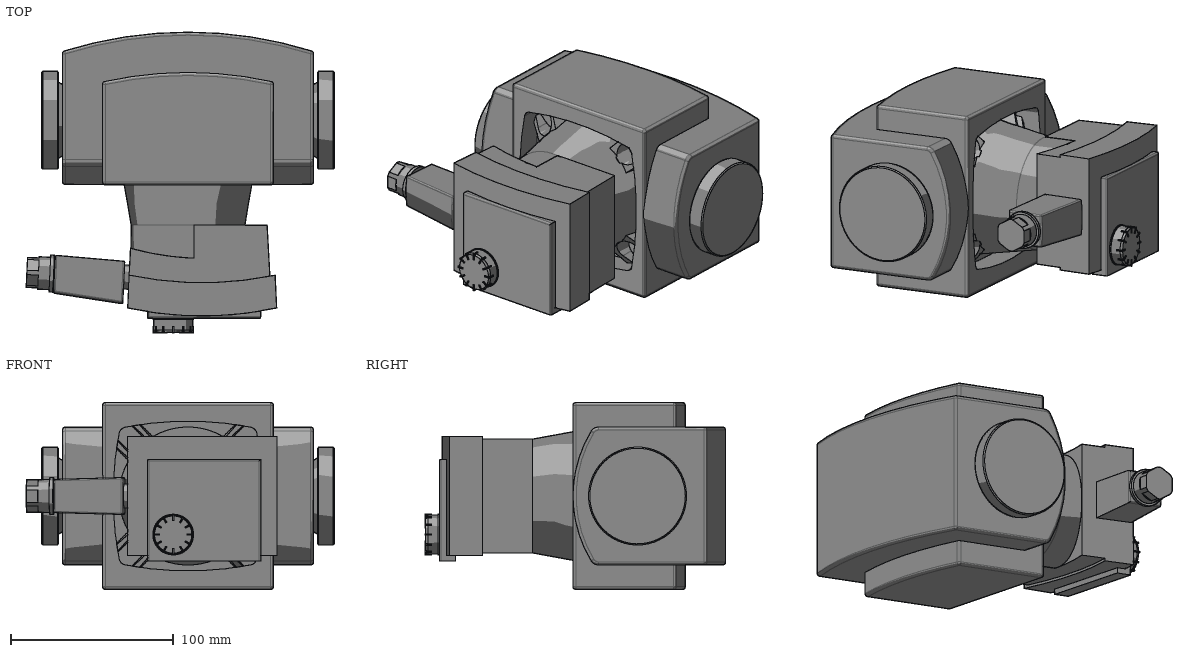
import cadquery as cq
import math

EDGE_ROUND = 1.9

SHELL_LENGTH = 154.4
SHELL_HEIGHT = 84.7
SHELL_BACK_APEX = 54.2
SHELL_BACK_CORNER = 42.2
SHELL_FRONT_APEX = -39.5
SHELL_FRONT_CORNER = -26.9
SHELL_CORNER_ROUND = 5.1
BLOCK_LENGTH = 105.1
BLOCK_HEIGHT = 115.0
BLOCK_BACK_APEX = 29.4
BLOCK_BACK_CORNER = 23.5
BLOCK_FRONT = -39.8

POCKET_HALF = 46.0
POCKET_CORNER = 41.7
POCKET_CORNER_ROUND = 4.7
POCKET_FLOOR = -23.9

PIPE_DIAMETER = 42.5
FLANGE_DIAMETER = 60.2
FLANGE_OUTER = 90.0
FLANGE_THICKNESS = 10.5
FLANGE_CHAMFER = 0.8
NECK_DIAMETER = 47.0
NECK_START = 75.8

MOTOR_DIAMETER = 70.0
MOTOR_FOOT_DIAMETER = 84.9
CONE_FRONT = -64.4
MOTOR_FRONT = -85.2
LUG_COUNT = 4
LUG_FIRST_ANGLE = 45
LUG_WIDTH = 21.0
LUG_SLOT_WIDTH = 12.1
LUG_SLOT_CENTER = 47.4
LUG_REACH = 56.8
LUG_TOP = -36.0
LUG_TOP_RADIUS = 37.9
LUG_SLOPE = 0.5
LUG_DRAFT = 7.0

MODULE_LEFT = -37.1
MODULE_RIGHT = 54.5
MODULE_CENTER = (MODULE_LEFT + MODULE_RIGHT) / 2
MODULE_ARC_RADIUS = 217.8
SEAM_APEX = -99.8
FRONT_PART_FRONT_APEX = -120.3
FRONT_PART_BACK_HALF = 44.9
FRONT_PART_FRONT_HALF = (MODULE_RIGHT - MODULE_LEFT) / 2
FRONT_PART_HEIGHT = 73.3
REAR_PART_HEIGHT = MOTOR_DIAMETER
REAR_PART_RIGHT_BACK = 48.7
REAR_PART_RIGHT_SEAM = 50.4
REAR_PART_STEP_X = 3.6
REAR_PART_STEP_APEX = -84.9
REAR_PART_STEP_RADIUS = 151.5
REAR_PART_LEFT_BACK = -78.6

PANEL_LEFT = -24.8
PANEL_RIGHT = 44.7
PANEL_TOP = 22.5
PANEL_BOTTOM = -40.0
PANEL_FRONT = -121.8
PANEL_BACK = -111.8
PANEL_ROUND = 1.1
PANEL_LEFT_ROUND = 0.8

KNOB_X = -9.0
KNOB_Z = -23.7
KNOB_DIAMETER = 24.0
KNOB_FACE_DIAMETER = 23.0
KNOB_COLLAR_DIAMETER = 25.0
KNOB_COLLAR = 0.8
KNOB_LENGTH = 8.9
KNOB_BEVEL = 1.5
RIB_COUNT = 12
RIB_INNER_DIAMETER = 17.0
RIB_OUTER_DIAMETER = 25.0
RIB_WIDTH = 0.8
RIB_LENGTH = 4.0
RIB_RISE = 0.4

SOCKET_Y = -96.5
SOCKET_DIAMETER = 15.0
SOCKET_LENGTH = 3.0
PLUG_LENGTH = 42.8
PLUG_OUTER_BACK = 11.4
PLUG_OUTER_FRONT = 11.4
PLUG_OUTER_HALF = 10.2
PLUG_INNER_BACK = 9.7
PLUG_INNER_FRONT = 16.0
PLUG_INNER_HALF = 11.4
PLUG_CROWN = 0.8
PLUG_ROUND = 1.0
PLUG_NECK_DIAMETER = 17.0
PLUG_NECK_LENGTH = 0.5
RING_DIAMETER = 23.0
RING_LENGTH = 2.3
RING_START = SOCKET_LENGTH + PLUG_LENGTH + PLUG_NECK_LENGTH
NUT_DIAMETER = 20.0
NUT_LENGTH = 14.2
NUT_ACROSS_FLATS = 18.5
NUT_FLAT_LENGTH = 7.2


def arched_block(length, height, front, back_corner, back_apex):
    """Block whose back face is an arc in plan."""
    half = length / 2
    return (
        cq.Workplane("XY")
        .moveTo(-half, front)
        .lineTo(half, front)
        .lineTo(half, back_corner)
        .threePointArc((0, back_apex), (-half, back_corner))
        .close()
        .extrude(height / 2, both=True)
    )


def make_shell():
    """Shell around the pipe: arched at the back, bowed and rounded at the front."""
    half = SHELL_HEIGHT / 2
    plan = arched_block(SHELL_LENGTH, SHELL_HEIGHT, SHELL_FRONT_APEX, SHELL_BACK_CORNER, SHELL_BACK_APEX)
    side = (
        cq.Workplane("YZ")
        .moveTo(SHELL_BACK_APEX, half)
        .lineTo(SHELL_FRONT_CORNER, half)
        .threePointArc((SHELL_FRONT_APEX, 0), (SHELL_FRONT_CORNER, -half))
        .lineTo(SHELL_BACK_APEX, -half)
        .close()
        .extrude(SHELL_LENGTH / 2, both=True)
    )
    front_corners = cq.selectors.BoxSelector(
        (-1.9, SHELL_FRONT_CORNER - 1.9, -half - 1.9), (1.9, SHELL_FRONT_CORNER + 1.9, half + 1.9)
    )
    side = side.edges(front_corners).fillet(SHELL_CORNER_ROUND)
    return plan.intersect(side).faces("<X or >X or >Y").edges().fillet(EDGE_ROUND)


def make_pocket():
    """Square pocket with bowed sides and rounded corners."""
    corner = POCKET_CORNER
    return (
        cq.Workplane("XZ", origin=(0, POCKET_FLOOR, 0))
        .moveTo(-corner, -corner)
        .threePointArc((0, -POCKET_HALF), (corner, -corner))
        .threePointArc((POCKET_HALF, 0), (corner, corner))
        .threePointArc((0, POCKET_HALF), (-corner, corner))
        .threePointArc((-POCKET_HALF, 0), (-corner, -corner))
        .close()
        .extrude(POCKET_FLOOR - BLOCK_FRONT + EDGE_ROUND)
        .edges("|Y")
        .fillet(POCKET_CORNER_ROUND)
    )


def make_insulation(pump_housing, pocket):
    """Shell and block in one, hollowed for the motor foot and the pipe."""
    block = arched_block(BLOCK_LENGTH, BLOCK_HEIGHT, BLOCK_FRONT, BLOCK_BACK_CORNER, BLOCK_BACK_APEX)
    block = block.edges().fillet(EDGE_ROUND)
    return make_shell().union(block).cut(pocket).cut(pump_housing)


def make_pump_housing():
    """Pipe with a conical neck and a chamfered flange at each end."""
    flange_inner = FLANGE_OUTER - FLANGE_THICKNESS
    half = (
        cq.Workplane("XY")
        .lineTo(0, PIPE_DIAMETER / 2)
        .lineTo(NECK_START, PIPE_DIAMETER / 2)
        .lineTo(flange_inner, NECK_DIAMETER / 2)
        .lineTo(flange_inner, FLANGE_DIAMETER / 2 - FLANGE_CHAMFER)
        .lineTo(flange_inner + FLANGE_CHAMFER, FLANGE_DIAMETER / 2)
        .lineTo(FLANGE_OUTER - FLANGE_CHAMFER, FLANGE_DIAMETER / 2)
        .lineTo(FLANGE_OUTER, FLANGE_DIAMETER / 2 - FLANGE_CHAMFER)
        .lineTo(FLANGE_OUTER, 0)
        .close()
        .revolve(360, (0, 0, 0), (1, 0, 0))
    )
    return half.union(half.mirror("YZ"))


def make_lug():
    """Foot lug along X: a rib with drafted sides and a top that slopes down outward."""
    outer_top = LUG_TOP + LUG_SLOPE * (LUG_REACH - LUG_TOP_RADIUS)
    profile = (
        cq.Workplane("XY")
        .moveTo(0, POCKET_FLOOR)
        .lineTo(LUG_REACH, POCKET_FLOOR)
        .lineTo(LUG_REACH, outer_top)
        .lineTo(LUG_TOP_RADIUS, LUG_TOP)
        .lineTo(0, LUG_TOP)
        .close()
        .extrude(LUG_WIDTH / 2, both=True)
    )
    bar_length = 4 * LUG_REACH
    drafted_bar = (
        cq.Workplane("XZ", origin=(0, POCKET_FLOOR, 0))
        .rect(bar_length, LUG_WIDTH)
        .extrude(POCKET_FLOOR - LUG_TOP, taper=LUG_DRAFT)
    )
    return profile.intersect(drafted_bar)


def make_lug_slot():
    """Drafted slot in a lug, round at its inner end and open to the outside."""
    half = LUG_SLOT_WIDTH / 2
    open_end = LUG_SLOT_CENTER + LUG_REACH
    return (
        cq.Workplane("XZ", origin=(0, POCKET_FLOOR, 0))
        .moveTo(open_end, -half)
        .lineTo(open_end, half)
        .lineTo(LUG_SLOT_CENTER, half)
        .threePointArc((LUG_SLOT_CENTER - half, 0), (LUG_SLOT_CENTER, -half))
        .close()
        .extrude(POCKET_FLOOR - LUG_TOP, taper=-LUG_DRAFT)
    )


def make_motor(pocket, module):
    """Cone and cylinder with four slotted foot lugs, notched where the module sits."""
    foot_radius = MOTOR_FOOT_DIAMETER / 2
    radius = MOTOR_DIAMETER / 2
    motor = (
        cq.Workplane("YZ")
        .moveTo(POCKET_FLOOR, 0)
        .lineTo(POCKET_FLOOR, foot_radius)
        .lineTo(CONE_FRONT, radius)
        .lineTo(MOTOR_FRONT, radius)
        .lineTo(MOTOR_FRONT, 0)
        .close()
        .revolve(360, (0, 0, 0), (1, 0, 0))
    )
    lug = make_lug()
    slot = make_lug_slot()
    for index in range(LUG_COUNT):
        angle = LUG_FIRST_ANGLE + index * 360 / LUG_COUNT
        motor = motor.union(lug.rotate((0, 0, 0), (0, 1, 0), angle).intersect(pocket))
    for index in range(LUG_COUNT):
        angle = LUG_FIRST_ANGLE + index * 360 / LUG_COUNT
        motor = motor.cut(slot.rotate((0, 0, 0), (0, 1, 0), angle))
    return motor.cut(module)


def arc_point(x, apex, radius):
    """Point at x on an arc that bulges toward -Y at the module's centre plane."""
    return (x, apex + radius - math.sqrt(radius**2 - (x - MODULE_CENTER) ** 2))


SEAM_LEFT = arc_point(MODULE_CENTER - FRONT_PART_BACK_HALF, SEAM_APEX, MODULE_ARC_RADIUS)
FRONT_LEFT = arc_point(MODULE_CENTER - FRONT_PART_FRONT_HALF, FRONT_PART_FRONT_APEX, MODULE_ARC_RADIUS)
SEAM_MIDDLE = (MODULE_CENTER, SEAM_APEX)


def module_left_x(y):
    """X of the module's slanted left side at a given y."""
    slope = (FRONT_LEFT[0] - SEAM_LEFT[0]) / (FRONT_LEFT[1] - SEAM_LEFT[1])
    return SEAM_LEFT[0] + slope * (y - SEAM_LEFT[1])


def make_module_rear():
    """Rear part whose back is stepped: an arc on the left, flat beside the motor cylinder on the right."""
    back_left = (module_left_x(REAR_PART_LEFT_BACK), REAR_PART_LEFT_BACK)
    step_middle = arc_point((back_left[0] + REAR_PART_STEP_X) / 2, REAR_PART_STEP_APEX, REAR_PART_STEP_RADIUS)
    step_end = arc_point(REAR_PART_STEP_X, REAR_PART_STEP_APEX, REAR_PART_STEP_RADIUS)
    return (
        cq.Workplane("XY")
        .moveTo(REAR_PART_STEP_X, CONE_FRONT)
        .lineTo(REAR_PART_RIGHT_BACK, CONE_FRONT)
        .lineTo(*arc_point(REAR_PART_RIGHT_SEAM, SEAM_APEX, MODULE_ARC_RADIUS))
        .threePointArc(SEAM_MIDDLE, SEAM_LEFT)
        .lineTo(*back_left)
        .threePointArc(step_middle, step_end)
        .close()
        .extrude(REAR_PART_HEIGHT / 2, both=True)
    )


def make_module_front():
    """Wider front part between two arcs of equal radius."""
    seam_right = arc_point(MODULE_CENTER + FRONT_PART_BACK_HALF, SEAM_APEX, MODULE_ARC_RADIUS)
    front_right = arc_point(MODULE_CENTER + FRONT_PART_FRONT_HALF, FRONT_PART_FRONT_APEX, MODULE_ARC_RADIUS)
    return (
        cq.Workplane("XY")
        .moveTo(*SEAM_LEFT)
        .threePointArc(SEAM_MIDDLE, seam_right)
        .lineTo(*front_right)
        .threePointArc((MODULE_CENTER, FRONT_PART_FRONT_APEX), FRONT_LEFT)
        .close()
        .extrude(FRONT_PART_HEIGHT / 2, both=True)
    )


def make_panel(module):
    """Plate on the module's bowed front that hooks under its lower edge."""
    panel = cq.Workplane("XY").box(
        PANEL_RIGHT - PANEL_LEFT,
        PANEL_BACK - PANEL_FRONT,
        PANEL_TOP - PANEL_BOTTOM,
        centered=False,
    )
    panel = panel.translate((PANEL_LEFT, PANEL_FRONT, PANEL_BOTTOM))
    panel = panel.faces("<Y").edges(">X or >Z").fillet(PANEL_ROUND)
    panel = panel.faces("<X").edges("<Y").fillet(PANEL_LEFT_ROUND)
    return panel.cut(module)


def make_knob():
    """Round knob with a collar, a bevelled face and grip ribs around the rim."""
    radius = KNOB_DIAMETER / 2
    collar_radius = KNOB_COLLAR_DIAMETER / 2
    face = KNOB_LENGTH - RIB_RISE
    base = cq.Workplane("XZ", origin=(KNOB_X, PANEL_FRONT, KNOB_Z))
    knob = (
        cq.Workplane("XY", origin=(KNOB_X, PANEL_FRONT, KNOB_Z))
        .lineTo(collar_radius, 0)
        .lineTo(collar_radius, -KNOB_COLLAR)
        .lineTo(radius, -KNOB_COLLAR)
        .lineTo(radius, KNOB_BEVEL - face)
        .lineTo(KNOB_FACE_DIAMETER / 2, -face)
        .lineTo(0, -face)
        .close()
        .revolve(360, (0, 0, 0), (0, 1, 0))
    )
    rib_span = (RIB_OUTER_DIAMETER - RIB_INNER_DIAMETER) / 2
    ribs = (
        base.workplane(offset=KNOB_LENGTH - RIB_LENGTH)
        .polarArray((RIB_INNER_DIAMETER + RIB_OUTER_DIAMETER) / 4, 0, 360, RIB_COUNT)
        .rect(rib_span, RIB_WIDTH)
        .extrude(RIB_LENGTH)
    )
    return knob.union(ribs)


def connector_plane(distance):
    """Plane at a distance out from the module's left side: x toward the front, y up."""
    run_x = FRONT_LEFT[0] - SEAM_LEFT[0]
    run_y = FRONT_LEFT[1] - SEAM_LEFT[1]
    origin = (module_left_x(SOCKET_Y), SOCKET_Y, 0)
    plane = cq.Plane(origin=origin, xDir=(run_x, run_y, 0), normal=(run_y, -run_x, 0))
    return cq.Workplane(plane).workplane(offset=distance)


def make_socket():
    """Round stub between the module and the plug."""
    return connector_plane(0).circle(SOCKET_DIAMETER / 2).extrude(SOCKET_LENGTH)


def plug_section(plane, back, front, half):
    """Rectangle with a crowned front side."""
    return (
        plane.moveTo(-back, -half)
        .lineTo(front, -half)
        .threePointArc((front + PLUG_CROWN, 0), (front, half))
        .lineTo(-back, half)
        .close()
    )


def make_plug():
    """Plug body that flares toward the module, with a short round neck at its outer end."""
    end = SOCKET_LENGTH + PLUG_LENGTH
    inner = plug_section(connector_plane(SOCKET_LENGTH), PLUG_INNER_BACK, PLUG_INNER_FRONT, PLUG_INNER_HALF)
    outer = plug_section(connector_plane(end), PLUG_OUTER_BACK, PLUG_OUTER_FRONT, PLUG_OUTER_HALF)
    body = cq.Workplane(cq.Solid.makeLoft([inner.val(), outer.val()], True))
    body = body.faces("<X or >X or <Y").edges().fillet(PLUG_ROUND)
    neck = connector_plane(end).circle(PLUG_NECK_DIAMETER / 2).extrude(PLUG_NECK_LENGTH)
    return body.union(neck)


def make_ring():
    """Sealing ring between the plug neck and the gland nut."""
    return connector_plane(RING_START).circle(RING_DIAMETER / 2).extrude(RING_LENGTH)


def make_nut():
    """Gland nut with six wrench flats at its outer end."""
    start = RING_START + RING_LENGTH
    nut = connector_plane(start).circle(NUT_DIAMETER / 2).extrude(NUT_LENGTH)
    flats_plane = connector_plane(start + NUT_LENGTH - NUT_FLAT_LENGTH)
    across_corners = NUT_ACROSS_FLATS / math.cos(math.pi / 6)
    hexagon = flats_plane.transformed(rotate=(0, 0, 30)).polygon(6, across_corners).extrude(NUT_FLAT_LENGTH)
    around_flats = flats_plane.circle(NUT_DIAMETER).extrude(NUT_FLAT_LENGTH).cut(hexagon)
    return nut.cut(around_flats)


pump_housing = make_pump_housing()
pocket = make_pocket()
insulation = make_insulation(pump_housing, pocket)
module = make_module_rear().union(make_module_front())
motor = make_motor(pocket, module)
panel = make_panel(module)
knob = make_knob()
socket = make_socket()
plug = make_plug()
ring = make_ring()
nut = make_nut()

result = cq.Compound.makeCompound(
    [
        insulation.val(),
        pump_housing.val(),
        motor.val(),
        module.val(),
        panel.val(),
        knob.val(),
        socket.val(),
        plug.val(),
        ring.val(),
        nut.val(),
    ]
)